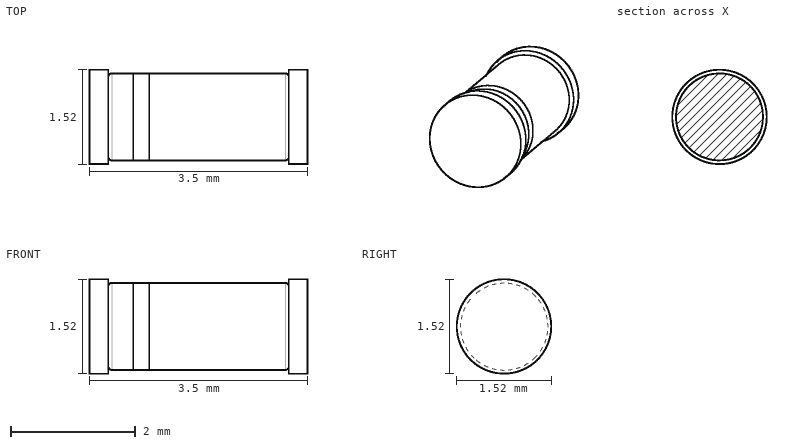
import cadquery as cq

total_length = 3.5
cap_diameter = 1.52
cap_length = 0.305

body_diameter = 1.4
body_edge_radius = 0.052

band_offset = 0.7
band_width = 0.255

left_end = -total_length / 2
right_end = total_length / 2
body_start = left_end + cap_length
body_end = right_end - cap_length
band_start = left_end + band_offset
band_end = band_start + band_width


def cylinder_along_x(start, end, diameter):
    """Solid cylinder on the X axis from start to end."""
    return cq.Workplane("YZ", origin=(start, 0, 0)).circle(diameter / 2).extrude(end - start)


def make_end_cap(start):
    """Plain disc terminal."""
    return cylinder_along_x(start, start + cap_length, cap_diameter)


def make_left_body():
    """Short body section, rounded where it meets the left cap."""
    section = cylinder_along_x(body_start, band_start, body_diameter)
    return section.faces("<X").edges().fillet(body_edge_radius)


def make_band():
    """Marking band, flush with the body sections on both sides."""
    return cylinder_along_x(band_start, band_end, body_diameter)


def make_right_body():
    """Long body section, rounded where it meets the right cap."""
    section = cylinder_along_x(band_end, body_end, body_diameter)
    return section.faces(">X").edges().fillet(body_edge_radius)


end_caps = [make_end_cap(start).val() for start in (left_end, body_end)]
left_body = make_left_body()
band = make_band()
right_body = make_right_body()

result = cq.Compound.makeCompound([*end_caps, left_body.val(), band.val(), right_body.val()])